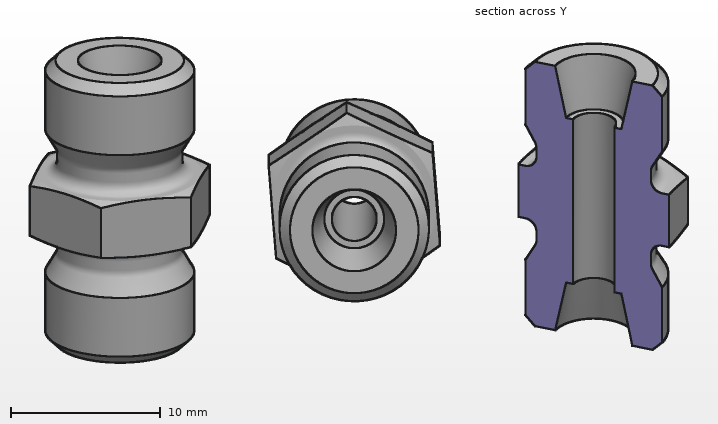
import cadquery as cq
import math

total_length = 20.0
across_flats = 11.0
hex_height = 4.0
hex_chamfer_angle = 15.0

thread_radius = 10.0 / 2
end_chamfer = 0.7
thread_length = 4.9
runout_angle = 30.0

groove_radius = 8.4 / 2
runout_blend_radius = 0.8
hex_blend_radius = 0.8

bore_diameter = 3.0
seat_mouth_radius = 5.6 / 2
seat_floor_radius = 4.0 / 2
seat_half_angle = 12.0

half_length = total_length / 2
half_hex = hex_height / 2


def make_end():
    """Upper threaded end with its undercut, standing on the hexagon."""
    angle = math.radians(runout_angle)
    thread_bottom = half_length - thread_length
    blend_center_r = groove_radius + runout_blend_radius
    blend_end_r = blend_center_r - runout_blend_radius * math.cos(angle)
    blend_end_z = thread_bottom - (thread_radius - blend_end_r) / math.tan(angle)
    blend_center_z = blend_end_z - runout_blend_radius * math.sin(angle)
    blend_mid = (
        blend_center_r - runout_blend_radius * math.cos(angle / 2),
        blend_center_z + runout_blend_radius * math.sin(angle / 2),
    )
    hex_blend_inset = hex_blend_radius * (1 - math.sqrt(0.5))
    return (
        cq.Workplane("XZ")
        .moveTo(0, 0)
        .lineTo(groove_radius + hex_blend_radius, 0)
        .lineTo(groove_radius + hex_blend_radius, half_hex)
        .threePointArc(
            (groove_radius + hex_blend_inset, half_hex + hex_blend_inset),
            (groove_radius, half_hex + hex_blend_radius),
        )
        .lineTo(groove_radius, blend_center_z)
        .threePointArc(blend_mid, (blend_end_r, blend_end_z))
        .lineTo(thread_radius, thread_bottom)
        .lineTo(thread_radius, half_length - end_chamfer)
        .lineTo(thread_radius - end_chamfer, half_length)
        .lineTo(0, half_length)
        .close()
        .revolve(360, (0, 0, 0), (0, 1, 0))
    )


def make_hexagon():
    """Hexagon with flats facing X and conically chamfered corners."""
    corner_diameter = across_flats / math.cos(math.pi / 6)
    prism = (
        cq.Workplane("XY")
        .workplane(offset=-half_hex)
        .polygon(6, corner_diameter)
        .extrude(hex_height)
        .rotate((0, 0, 0), (0, 0, 1), 30)
    )
    flat_radius = across_flats / 2
    corner_radius = corner_diameter / 2
    drop = (corner_radius - flat_radius) * math.tan(math.radians(hex_chamfer_angle))
    envelope = (
        cq.Workplane("XZ")
        .moveTo(0, -half_hex)
        .lineTo(flat_radius, -half_hex)
        .lineTo(corner_radius, -half_hex + drop)
        .lineTo(corner_radius, half_hex - drop)
        .lineTo(flat_radius, half_hex)
        .lineTo(0, half_hex)
        .close()
        .revolve(360, (0, 0, 0), (0, 1, 0))
    )
    return prism.intersect(envelope)


def make_seat():
    """Conical pocket in the upper end."""
    depth = (seat_mouth_radius - seat_floor_radius) / math.tan(math.radians(seat_half_angle))
    return (
        cq.Workplane("XZ")
        .moveTo(0, half_length)
        .lineTo(seat_mouth_radius, half_length)
        .lineTo(seat_floor_radius, half_length - depth)
        .lineTo(0, half_length - depth)
        .close()
        .revolve(360, (0, 0, 0), (0, 1, 0))
    )


def mirror_down(shape):
    return shape.mirror("XY")


upper_end = make_end()
seat = make_seat()
bore = cq.Workplane("XY").circle(bore_diameter / 2).extrude(half_length, both=True)

result = make_hexagon().union(upper_end).union(mirror_down(upper_end))
result = result.cut(seat).cut(mirror_down(seat)).cut(bore)